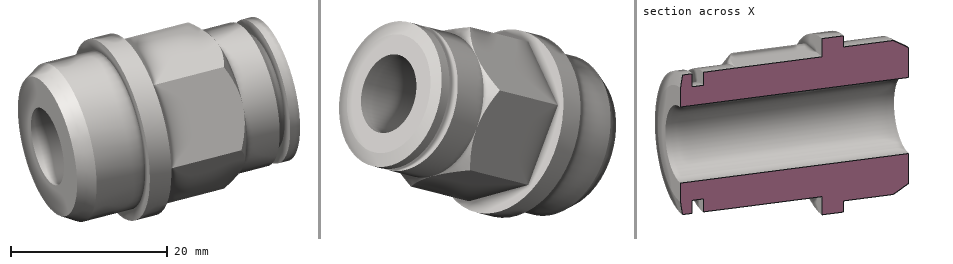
import cadquery as cq
import math

total_length = 31.5
thread_chamfer_end = 2.17
flange_start = 8.98
flange_end = 12.0
hex_end = 23.78
body_end = 28.35
collar_start = 29.83
collar_chamfer = 0.28

bore_radius = 5.15
thread_tip_radius = 9.23
thread_radius = 10.5
flange_radius = 12.0
across_flats = 19.03
body_radius = across_flats / 2
corner_radius = body_radius / math.cos(math.pi / 6)
neck_radius = 7.75


def revolve_about_y(points):
    """Revolve a closed (radius, y) outline about the Y axis."""
    return cq.Workplane("XY").polyline(points).close().revolve(360, (0, 0), (0, 1))


def make_hex():
    """Hexagon with corners on +X and -X, its rear corners turned off at 45 degrees."""
    hex_length = hex_end - flange_end
    prism = (
        cq.Workplane("XZ", origin=(0, hex_end, 0))
        .polygon(6, 2 * corner_radius)
        .extrude(hex_length)
    )
    corner_chamfer = corner_radius - body_radius
    envelope = revolve_about_y([
        (0, flange_end),
        (corner_radius, flange_end),
        (corner_radius, hex_end - corner_chamfer),
        (body_radius, hex_end),
        (0, hex_end),
    ])
    return prism.intersect(envelope)


def make_turned_body():
    """Thread, flange, round body, neck and release collar as one turned shape."""
    return revolve_about_y([
        (0, 0),
        (thread_tip_radius, 0),
        (thread_radius, thread_chamfer_end),
        (thread_radius, flange_start),
        (flange_radius, flange_start),
        (flange_radius, flange_end),
        (body_radius, flange_end),
        (body_radius, body_end),
        (neck_radius, body_end),
        (neck_radius, collar_start),
        (body_radius, collar_start),
        (body_radius, total_length - collar_chamfer),
        (neck_radius, total_length),
        (0, total_length),
    ])


def make_bore():
    """Through hole along the whole axis."""
    return cq.Workplane("XZ").circle(bore_radius).extrude(-total_length)


result = make_turned_body().union(make_hex()).cut(make_bore())